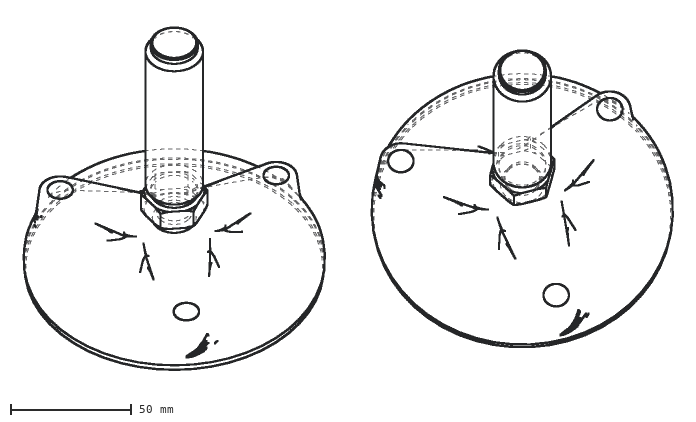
import cadquery as cq
import math

BASE_RADIUS = 125.0 / 2
FOOT_RADIUS = 62.2
FOOT_HEIGHT = 3.1
FLANGE_Z = 3.5
BOTTOM_CHAMFER = 0.5
ROUND_RADIUS = 5.0
CONE_EDGE_Z = 10.3
CONE_SLOPE = 0.3
CONE_TOP_RADIUS = 7.7

HUB_TOP_Z = 28.6
HUB_FOOT_RADIUS = 24.0
HUB_FLANK_RADIUS = 15.0
HUB_EDGE_FILLET = 1.0

LUG_COUNT = 3
LUG_TOP_Z = 24.1
LUG_CENTRE_RADIUS = 52.0
LUG_TIP_RADIUS = 8.6
LUG_SIDE_ANGLE = 7.4
LUG_DRAFT = 6
LUG_EDGE_FILLET = 0.9
LUG_FOOT_FILLET = 5.0
LUG_FOOT_SPREAD = 56
LUG_HUB_FILLET = 5.0
SPOT_DIAMETER = 10.5
SPOT_DEPTH = 0.1
LUG_INNER_Y = 10.3
LUG_BOTTOM_Z = 7.7
TALL_LUG_Z = 38.6

TOTAL_HEIGHT = 128.7
SHAFT_RADIUS = 12.0
NECK_RADIUS = 7.3
NECK_FOOT_RADIUS = 9.1
NECK_FOOT_TOP_Z = 31.7
HEX_BOTTOM_Z = 33.7
HEX_TOP_Z = 43.5
HEX_ACROSS_FLATS = 24.0
HEX_END_RADIUS = 12.5
HEX_CHAMFER_ANGLE = 30
UNDERCUT_RADIUS = 9.8
UNDERCUT_TOP_Z = 45.3
SHAFT_END_Z = 123.7
STUB_EDGE_CHAMFER = 0.6

SELECT_MARGIN = 0.1


def cone_z(radius):
    """Height of the conical upper face at a distance from the axis."""
    return CONE_EDGE_Z + CONE_SLOPE * (BASE_RADIUS - radius)


def spin(outline):
    """Full turn of a closed XZ outline about the Z axis."""
    return outline.close().revolve(360, (0, 0), (0, 1))


def ring_at(radius, z):
    """Selector for the circular edge of the given radius and height."""
    reach = radius + SELECT_MARGIN
    low = (-reach, -reach, z - SELECT_MARGIN)
    high = (reach, reach, z + SELECT_MARGIN)
    return cq.selectors.BoxSelector(low, high, boundingbox=True)


def make_plate():
    plate = spin(cq.Workplane("XZ").polyline([
        (0, 0),
        (FOOT_RADIUS - BOTTOM_CHAMFER, 0),
        (FOOT_RADIUS, BOTTOM_CHAMFER),
        (FOOT_RADIUS, FOOT_HEIGHT),
        (BASE_RADIUS, FLANGE_Z),
        (BASE_RADIUS, CONE_EDGE_Z),
        (CONE_TOP_RADIUS, cone_z(CONE_TOP_RADIUS)),
        (0, cone_z(CONE_TOP_RADIUS)),
    ]))
    return plate.edges(ring_at(BASE_RADIUS, CONE_EDGE_Z)).fillet(ROUND_RADIUS)


def flank_centre():
    """Centre of the hub flank arc, which is tangent to the conical face."""
    tilt = math.atan(CONE_SLOPE)
    return (HUB_FOOT_RADIUS + HUB_FLANK_RADIUS * math.sin(tilt),
            cone_z(HUB_FOOT_RADIUS) + HUB_FLANK_RADIUS * math.cos(tilt))


def flank_point(z):
    """Point of the hub flank arc at a height."""
    centre_r, centre_z = flank_centre()
    return (centre_r - math.sqrt(HUB_FLANK_RADIUS ** 2 - (centre_z - z) ** 2), z)


def make_hub():
    foot_z = cone_z(HUB_FOOT_RADIUS)
    top = flank_point(HUB_TOP_Z)
    hub = spin(
        cq.Workplane("XZ")
        .lineTo(HUB_FOOT_RADIUS, 0)
        .lineTo(HUB_FOOT_RADIUS, foot_z)
        .threePointArc(flank_point((foot_z + HUB_TOP_Z) / 2), top)
        .lineTo(0, HUB_TOP_Z)
    )
    return hub.edges(ring_at(*top)).fillet(HUB_EDGE_FILLET)


def lug_prism(wall_z, top_z, draft):
    """Lug along +Y with drafted walls that pass the nominal lug wall at wall_z."""
    side = math.radians(LUG_SIDE_ANGLE)
    wall_radius = LUG_TIP_RADIUS + (LUG_TOP_Z - wall_z) * math.tan(math.radians(LUG_DRAFT))

    def outline(z):
        radius = wall_radius + (wall_z - z) * math.tan(math.radians(draft))
        tip_x = radius * math.cos(side)
        tip_y = LUG_CENTRE_RADIUS + radius * math.sin(side)
        root_x = tip_x + (tip_y - LUG_INNER_Y) * math.tan(side)
        return (
            cq.Workplane("XY", origin=(0, 0, z))
            .moveTo(-root_x, LUG_INNER_Y)
            .lineTo(-tip_x, tip_y)
            .threePointArc((0, LUG_CENTRE_RADIUS + radius), (tip_x, tip_y))
            .lineTo(root_x, LUG_INNER_Y)
            .close()
            .wires()
            .val()
        )

    return cq.Workplane(cq.Solid.makeLoft([outline(LUG_BOTTOM_Z), outline(top_z)], True))


def make_lug_body():
    """Lug with its rounded top edge and the spot sunk into its top."""
    body = lug_prism(LUG_TOP_Z, LUG_TOP_Z, LUG_DRAFT)
    body = body.faces(">Z").edges("not <Y").fillet(LUG_EDGE_FILLET)
    spot = (
        cq.Workplane("XY", origin=(0, LUG_CENTRE_RADIUS, LUG_TOP_Z - SPOT_DEPTH))
        .circle(SPOT_DIAMETER / 2)
        .extrude(SPOT_DEPTH)
    )
    return body.cut(spot)


def make_lug_foot(plate):
    """Concave fillet between lug and plate, tapering off where the lug sinks into the cone."""
    sector = (
        cq.Workplane("XY")
        .rect(2 * BASE_RADIUS, 2 * BASE_RADIUS)
        .extrude(TOTAL_HEIGHT)
        .translate((0, LUG_INNER_Y + BASE_RADIUS, 0))
    )
    tall_lug = lug_prism(LUG_TOP_Z, TALL_LUG_Z, LUG_DRAFT)
    joined = plate.intersect(sector).union(tall_lug)
    foot_low = (0, LUG_INNER_Y - SELECT_MARGIN, CONE_EDGE_Z)
    foot_high = (2 * LUG_TIP_RADIUS, BASE_RADIUS, HUB_TOP_Z)
    foot_edge = cq.selectors.BoxSelector(foot_low, foot_high, boundingbox=True)
    joined = joined.edges(foot_edge).fillet(LUG_FOOT_FILLET)
    edge_z = LUG_TOP_Z - LUG_EDGE_FILLET
    return joined.cut(plate).intersect(lug_prism(edge_z, edge_z, LUG_FOOT_SPREAD))


def make_lug_root():
    """Concave blend from the flat lug top into the hub flank."""
    flank_r, flank_z = flank_centre()
    blend_z = LUG_TOP_Z + LUG_HUB_FILLET
    reach = HUB_FLANK_RADIUS - LUG_HUB_FILLET
    blend_r = flank_r - math.sqrt(reach ** 2 - (flank_z - blend_z) ** 2)

    def blend_point(angle):
        return (blend_r - LUG_HUB_FILLET * math.cos(angle),
                blend_z - LUG_HUB_FILLET * math.sin(angle))

    start = math.atan2(flank_z - blend_z, flank_r - blend_r)
    end = math.pi / 2
    top = blend_point(start)
    ring = spin(
        cq.Workplane("XZ")
        .moveTo(0, LUG_BOTTOM_Z)
        .lineTo(0, top[1])
        .lineTo(*top)
        .threePointArc(blend_point((start + end) / 2), blend_point(end))
        .lineTo(blend_r, LUG_BOTTOM_Z)
    )
    return ring.intersect(lug_prism(LUG_TOP_Z, HUB_TOP_Z, LUG_DRAFT))


def make_stem():
    shoulder = SHAFT_RADIUS - UNDERCUT_RADIUS
    stem = spin(cq.Workplane("XZ").polyline([
        (0, LUG_TOP_Z),
        (NECK_FOOT_RADIUS, LUG_TOP_Z),
        (NECK_FOOT_RADIUS, HUB_TOP_Z),
        (NECK_RADIUS, NECK_FOOT_TOP_Z),
        (NECK_RADIUS, HEX_BOTTOM_Z),
        (UNDERCUT_RADIUS, HEX_BOTTOM_Z),
        (UNDERCUT_RADIUS, UNDERCUT_TOP_Z),
        (SHAFT_RADIUS, UNDERCUT_TOP_Z + shoulder),
        (SHAFT_RADIUS, SHAFT_END_Z),
        (UNDERCUT_RADIUS, SHAFT_END_Z + shoulder),
        (UNDERCUT_RADIUS, TOTAL_HEIGHT),
        (0, TOTAL_HEIGHT),
    ]))
    return stem.faces(">Z").edges().chamfer(STUB_EDGE_CHAMFER)


def make_hexagon():
    corner_radius = HEX_ACROSS_FLATS / math.sqrt(3)
    drop = (corner_radius - HEX_END_RADIUS) * math.tan(math.radians(HEX_CHAMFER_ANGLE))
    height = HEX_TOP_Z - HEX_BOTTOM_Z
    hexagon = (
        cq.Workplane("XY", origin=(0, 0, HEX_BOTTOM_Z))
        .polygon(6, 2 * corner_radius)
        .extrude(height)
    )
    chamfered = spin(cq.Workplane("XZ").polyline([
        (0, HEX_BOTTOM_Z),
        (HEX_END_RADIUS, HEX_BOTTOM_Z),
        (corner_radius, HEX_BOTTOM_Z + drop),
        (corner_radius, HEX_TOP_Z - drop),
        (HEX_END_RADIUS, HEX_TOP_Z),
        (0, HEX_TOP_Z),
    ]))
    return hexagon.intersect(chamfered)


plate = make_plate()
lug = make_lug_body().union(make_lug_foot(plate)).union(make_lug_root())
result = plate
for index in range(LUG_COUNT):
    result = result.union(lug.rotate((0, 0, 0), (0, 0, 1), index * 360 / LUG_COUNT))
result = result.union(make_hub()).union(make_stem()).union(make_hexagon())